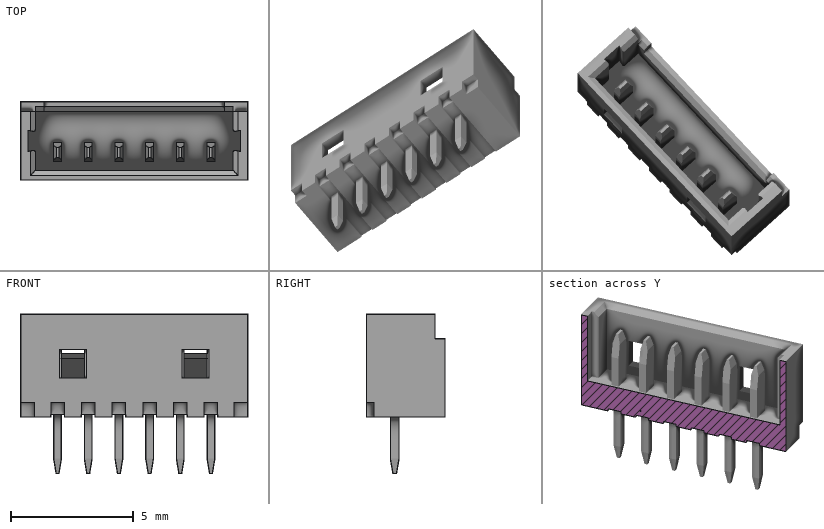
import cadquery as cq

LENGTH = 9.25
DEPTH = 3.2
HEIGHT = 4.2

FLOOR_Z = 1.2
END_WALL = 0.6
FRONT_WALL = 0.4
BACK_WALL = 0.4
LEAD_IN = 0.2

BACK_INNER_Y = DEPTH - BACK_WALL
SHOULDER_Z = HEIGHT - 1.0
SHOULDER_LENGTH = 0.95
BACK_MIDDLE_Z = 2.6

GROOVE_Y = 1.6
GROOVE_END_WALL = 0.3
GROOVE_LIP_WIDTH = 0.74
GROOVE_BASE_WIDTH = 0.86
GROOVE_LIP_RADIUS = 0.08

PIN_COUNT = 6
PIN_PITCH = 1.25
PIN_Y = 1.15
PIN_THICKNESS = 0.32
FIRST_PIN_X = (LENGTH - (PIN_COUNT - 1) * PIN_PITCH) / 2
PIN_XS = [FIRST_PIN_X + i * PIN_PITCH for i in range(PIN_COUNT)]

BLADE_WIDTH = 0.76
BLADE_TOP_Z = 3.5
BLADE_SIDE_TAPER = 0.4
BLADE_FRONT_TAPER = 0.7
BLADE_BACK_TAPER = 1.0
BLADE_TIP_THICKNESS = 0.1
BLADE_TIP_WIDTH = 0.41
BLADE_TIP_SHIFT = -0.025

LEG_WIDTH = 0.36
LEG_BOTTOM_Z = -2.3
LEG_TAPER = 0.6
LEG_TIP_THICKNESS = 0.12
LEG_TIP_WIDTH = 0.15

WINDOW_WIDTH = 1.1
WINDOW_BOTTOM_Z = 1.6
WINDOW_TOP_Z = 2.75
WINDOW_XS = [FIRST_PIN_X + PIN_PITCH / 2, LENGTH - FIRST_PIN_X - PIN_PITCH / 2]

NOTCH_WIDTH = 0.55
NOTCH_DEPTH = 0.3
NOTCH_HEIGHT = 0.6
CORNER_NOTCH_WIDTH = 0.57
CHANNEL_HEIGHT = 0.1


def block(x0, x1, y0, y1, z0, z1):
    """Axis-aligned box between two opposite corners."""
    return cq.Workplane("XY").box(x1 - x0, y1 - y0, z1 - z0, centered=False).translate((x0, y0, z0))


def key_groove():
    """Flared groove cutter for the left end wall, reaching into the cavity."""
    lip = GROOVE_LIP_WIDTH / 2
    base = GROOVE_BASE_WIDTH / 2
    outline = [
        (GROOVE_END_WALL, GROOVE_Y - base),
        (END_WALL, GROOVE_Y - lip),
        (END_WALL, GROOVE_Y + lip),
        (GROOVE_END_WALL, GROOVE_Y + base),
    ]
    return cq.Workplane("XY", origin=(0, 0, FLOOR_Z)).polyline(outline).close().extrude(HEIGHT - FLOOR_Z)


def cavity():
    """Main pocket with both key grooves and their rounded lips."""
    groove = key_groove()
    pocket = block(END_WALL, LENGTH - END_WALL, FRONT_WALL, BACK_INNER_Y, FLOOR_Z, HEIGHT)
    pocket = pocket.union(groove).union(groove.mirror("YZ", (LENGTH / 2, 0, 0)))
    margin = 0.01
    for x in (END_WALL, LENGTH - END_WALL):
        lips = cq.selectors.BoxSelector(
            (x - margin, GROOVE_Y - GROOVE_LIP_WIDTH / 2 - margin, FLOOR_Z),
            (x + margin, GROOVE_Y + GROOVE_LIP_WIDTH / 2 + margin, HEIGHT),
        )
        pocket = pocket.edges("|Z").edges(lips).fillet(GROOVE_LIP_RADIUS)
    return pocket


def mouth_bevel():
    """Bevel cutter for the front and end walls; it runs out past the back of the housing."""
    width = LENGTH - 2 * END_WALL
    reach = DEPTH
    flare = 2 * LEAD_IN
    return (
        cq.Workplane("XY", origin=(LENGTH / 2, FRONT_WALL + reach / 2, HEIGHT - LEAD_IN))
        .rect(width, reach)
        .workplane(offset=LEAD_IN)
        .rect(width + flare, reach + flare)
        .loft(ruled=True)
    )


def back_bevel(x0, x1, top_z):
    """Bevel cutter for the inner top edge of the back wall."""
    corner = [(BACK_INNER_Y, top_z), (BACK_INNER_Y + LEAD_IN, top_z), (BACK_INNER_Y, top_z - LEAD_IN)]
    return cq.Workplane("YZ", origin=(x0, 0, 0)).polyline(corner).close().extrude(x1 - x0)


def shape_back_wall(body):
    """Lower the back wall in two steps and bevel its inner top edges."""
    right_shoulder_x = LENGTH - SHOULDER_LENGTH
    body = body.cut(block(0, LENGTH, BACK_INNER_Y, DEPTH, SHOULDER_Z, HEIGHT))
    body = body.cut(block(SHOULDER_LENGTH, right_shoulder_x, BACK_INNER_Y, DEPTH, BACK_MIDDLE_Z, HEIGHT))
    body = body.cut(back_bevel(END_WALL, SHOULDER_LENGTH, SHOULDER_Z))
    body = body.cut(back_bevel(right_shoulder_x, LENGTH - END_WALL, SHOULDER_Z))
    return body.cut(back_bevel(SHOULDER_LENGTH, right_shoulder_x, BACK_MIDDLE_Z))


def cut_windows(body):
    """Open the latch windows through the front wall."""
    half = WINDOW_WIDTH / 2
    for x in WINDOW_XS:
        body = body.cut(block(x - half, x + half, 0, FRONT_WALL, WINDOW_BOTTOM_Z, WINDOW_TOP_Z))
    return body


def cut_underside(body):
    """Cut the front notches and the shallow channel that runs front to back at each pin."""
    half = NOTCH_WIDTH / 2
    for x in PIN_XS:
        body = body.cut(block(x - half, x + half, 0, NOTCH_DEPTH, 0, NOTCH_HEIGHT))
        body = body.cut(block(x - half, x + half, 0, DEPTH, 0, CHANNEL_HEIGHT))
    for x in (0, LENGTH - CORNER_NOTCH_WIDTH):
        body = body.cut(block(x, x + CORNER_NOTCH_WIDTH, 0, NOTCH_DEPTH, 0, NOTCH_HEIGHT))
    return body


def pin_blade(x):
    """Part of the pin inside the cavity, with independent side, front and back slopes at its tip."""
    half = PIN_THICKNESS / 2
    half_tip = BLADE_TIP_THICKNESS / 2
    side_z = BLADE_TOP_Z - BLADE_SIDE_TAPER
    across = [
        (x - half, FLOOR_Z),
        (x + half, FLOOR_Z),
        (x + half, side_z),
        (x + half_tip, BLADE_TOP_Z),
        (x - half_tip, BLADE_TOP_Z),
        (x - half, side_z),
    ]
    front_y = PIN_Y - BLADE_WIDTH / 2
    back_y = PIN_Y + BLADE_WIDTH / 2
    tip_y = PIN_Y + BLADE_TIP_SHIFT
    along = [
        (front_y, FLOOR_Z),
        (back_y, FLOOR_Z),
        (back_y, BLADE_TOP_Z - BLADE_BACK_TAPER),
        (tip_y + BLADE_TIP_WIDTH / 2, BLADE_TOP_Z),
        (tip_y - BLADE_TIP_WIDTH / 2, BLADE_TOP_Z),
        (front_y, BLADE_TOP_Z - BLADE_FRONT_TAPER),
    ]
    across_prism = cq.Workplane("XZ").polyline(across).close().extrude(-DEPTH)
    along_prism = cq.Workplane("YZ").polyline(along).close().extrude(LENGTH)
    return across_prism.intersect(along_prism)


def pin_leg(x):
    """Solder leg below the cavity floor, ending in a four-sided tapered tip."""
    taper_z = LEG_BOTTOM_Z + LEG_TAPER
    shank = (
        cq.Workplane("XY", origin=(x, PIN_Y, taper_z))
        .rect(PIN_THICKNESS, LEG_WIDTH)
        .extrude(FLOOR_Z - taper_z)
    )
    tip = (
        cq.Workplane("XY", origin=(x, PIN_Y, taper_z))
        .rect(PIN_THICKNESS, LEG_WIDTH)
        .workplane(offset=-LEG_TAPER)
        .rect(LEG_TIP_THICKNESS, LEG_TIP_WIDTH)
        .loft(ruled=True)
    )
    return shank.union(tip)


housing = block(0, LENGTH, 0, DEPTH, 0, HEIGHT).cut(cavity()).cut(mouth_bevel())
housing = shape_back_wall(housing)
housing = cut_windows(housing)
housing = cut_underside(housing)

result = housing
for pin_x in PIN_XS:
    result = result.union(pin_blade(pin_x)).union(pin_leg(pin_x))